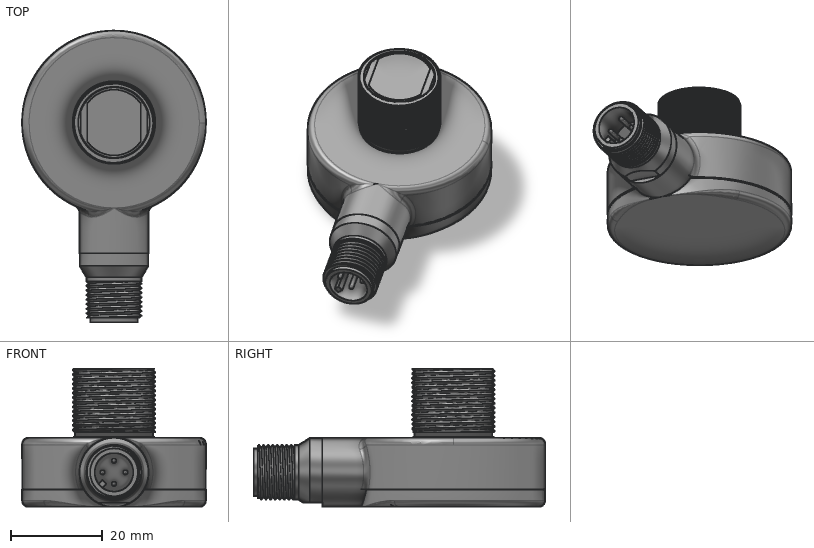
import cadquery as cq
import math

disc_radius = 20.04
disc_height = 15.09
edge_radius = 1.5
fade_radius = 0.1
fade_start_angle = 50
fade_end_angle = 8
groove_z = 3.7
groove_height = 0.2
groove_depth = 0.25

neck_radius = disc_height / 2
axis_z = neck_radius
neck_end_y = -28.5
neck_blend_radius = 1.5

stem_length = 15.0
stem_crest_radius = 9.0
stem_root_radius = 8.5
stem_undercut_length = 1.2
stem_ring_radius = 8.75
stem_ring_height = 0.15
stem_thread_phase = 180
recess_radius = 7.8
recess_depth = 0.4

face_radius = 7.65
face_half_width = 7.26
pad_radius = 7.15
pad_half_width = 5.84
pad_height = 0.1

connector_length = 14.97
collar_radius = 7.5
collar_length = 2.7
cone_length = 2.45
flat_height = 0.95
plug_crest_radius = 6.0
plug_root_radius = 5.45
plug_plain_length = 0.9
tip_radius = 5.2
tip_length = 0.95
socket_radius = 4.2
socket_depth = 8.5
pin_radius = 0.5
pin_circle_radius = 2.5
pin_length = 6.5
pin_count = 4
pin_end_rounding = 0.4
key_width = 1.2
key_inner_radius = 2.95
key_length = 7.5
key_angle = 225

thread_pitch = 1.0
spiral_steps = 8

groove_top_z = groove_z + groove_height
stem_top_z = disc_height + stem_length
recess_floor_z = stem_top_z - recess_depth

cone_end = collar_length + cone_length
thread_start = cone_end + plug_plain_length
tip_start = connector_length - tip_length
thread_length = tip_start - thread_start
socket_floor = connector_length - socket_depth


def disc_with_flats(radius, half_width, bottom_z, height):
    """Vertical disc with two flats parallel to Y, standing on bottom_z."""
    disc = cq.Workplane("XY", origin=(0, 0, bottom_z)).circle(radius).extrude(height)
    band = cq.Workplane("XY", origin=(0, 0, bottom_z)).rect(2 * half_width, 2 * radius).extrude(height)
    return disc.intersect(band)


def threaded_rod(root_radius, crest_radius, length):
    """Right-hand V-threaded rod along +Z from z = 0.

    Every cross-section of a single-start V thread is the same heart-shaped outline, two mirrored
    spirals from root to crest, so the rod is that outline extruded with one twist per pitch.
    """
    rise = crest_radius - root_radius

    def spiral(side):
        points = []
        for step in range(spiral_steps + 1):
            turn = step / spiral_steps
            radius = root_radius + rise * turn
            angle = side * math.pi * turn
            points.append(cq.Vector(radius * math.cos(angle), radius * math.sin(angle)))
        return cq.Edge.makeSpline(points)

    outline = cq.Wire.assembleEdges([spiral(1), spiral(-1)])
    rod = cq.Solid.extrudeLinearWithRotation(
        outline, [], cq.Vector(0, 0, 0), cq.Vector(0, 0, length), 360 * length / thread_pitch
    )
    return cq.Workplane(obj=rod)


def make_neck():
    return cq.Workplane("XZ", origin=(0, 0, axis_z)).circle(neck_radius).extrude(-neck_end_y)


def make_upper_housing(neck):
    """Disc and neck above the groove, with the concave blend between them."""
    disc = cq.Workplane("XY").circle(disc_radius).extrude(disc_height)
    disc = disc.faces(">Z").edges().fillet(edge_radius)
    above_groove = (
        cq.Workplane("XY", origin=(0, 0, groove_top_z))
        .rect(4 * disc_radius, 4 * disc_radius)
        .extrude(disc_height)
    )
    upper = disc.union(neck).intersect(above_groove)
    corner = [
        edge
        for edge in upper.edges().vals()
        if edge.geomType() == "BSPLINE"
    ]
    return upper.newObject(corner).fillet(neck_blend_radius)


def rim_point(angle):
    """Point on the lower rim, angle in degrees from -Y toward +X."""
    return (
        disc_radius * math.sin(math.radians(angle)),
        -disc_radius * math.cos(math.radians(angle)),
    )


def lower_rim_radius(point):
    """Size of the lower rim's rounding at a point where two stretches of the rim meet."""
    angle = abs(math.degrees(math.atan2(point.x, -point.y)))
    return edge_radius if angle > (fade_start_angle + fade_end_angle) / 2 else fade_radius


def make_lower_disc():
    """Disc below the groove; its bottom rounding fades out toward the neck on both sides."""
    mid_fade_angle = (fade_start_angle + fade_end_angle) / 2
    disc = (
        cq.Workplane("XY")
        .moveTo(*rim_point(fade_start_angle))
        .threePointArc(rim_point(180), rim_point(-fade_start_angle))
        .threePointArc(rim_point(-mid_fade_angle), rim_point(-fade_end_angle))
        .threePointArc(rim_point(0), rim_point(fade_end_angle))
        .threePointArc(rim_point(mid_fade_angle), rim_point(fade_start_angle))
        .close()
        .extrude(groove_z, clean=False)
    )
    rounding = cq.occ_impl.shapes.BRepFilletAPI_MakeFillet(disc.val().wrapped)
    rounding.Add(disc.faces("<Z").edges().val().wrapped)
    rim = 1
    for stretch in range(1, rounding.NbEdges(rim) + 1):
        edge = cq.Shape.cast(rounding.Edge(rim, stretch))
        start_radius = lower_rim_radius(edge.startPoint())
        end_radius = lower_rim_radius(edge.endPoint())
        rounding.SetRadius(start_radius, end_radius, rim, stretch)
    return cq.Workplane(obj=cq.Shape.cast(rounding.Shape()))


def make_lower_housing(neck):
    """Disc and neck up to the top of the groove, meeting in a sharp corner."""
    disc = make_lower_disc()
    groove_floor = (
        cq.Workplane("XY", origin=(0, 0, groove_z))
        .circle(disc_radius - groove_depth)
        .extrude(groove_height)
    )
    below_groove = (
        cq.Workplane("XY").rect(4 * disc_radius, 4 * disc_radius).extrude(groove_top_z)
    )
    return disc.union(groove_floor).union(neck.intersect(below_groove))


def make_stem():
    """Threaded stem with a plain undercut and a low ring at its foot."""
    foot = cq.Workplane("XY", origin=(0, 0, disc_height))
    undercut = foot.circle(stem_root_radius).extrude(stem_undercut_length)
    ring = foot.circle(stem_ring_radius).extrude(stem_ring_height)
    thread = (
        threaded_rod(stem_root_radius, stem_crest_radius, stem_length - stem_undercut_length)
        .rotate((0, 0, 0), (0, 0, 1), stem_thread_phase)
        .translate((0, 0, disc_height + stem_undercut_length))
    )
    recess = (
        cq.Workplane("XY", origin=(0, 0, recess_floor_z)).circle(recess_radius).extrude(recess_depth)
    )
    return undercut.union(ring).union(thread.cut(recess, clean=False), clean=False)


def make_housing():
    neck = make_neck()
    housing = make_lower_housing(neck).union(make_upper_housing(neck))
    return housing.union(make_stem(), clean=False)


def make_sensor_face():
    disc_thickness = recess_depth - pad_height
    disc = disc_with_flats(face_radius, face_half_width, recess_floor_z, disc_thickness)
    pad = disc_with_flats(pad_radius, pad_half_width, stem_top_z - pad_height, pad_height)
    return disc.union(pad)


def make_collar():
    """Collar, cone and plain length in front of the neck, with a flat underneath."""
    body = (
        cq.Workplane("XZ")
        .lineTo(collar_radius, 0)
        .lineTo(collar_radius, collar_length)
        .lineTo(plug_crest_radius, cone_end)
        .lineTo(plug_crest_radius, thread_start)
        .lineTo(0, thread_start)
        .close()
        .revolve(360, (0, 0), (0, 1))
    )
    above_flat = (
        cq.Workplane("XY", origin=(0, flat_height - axis_z, 0))
        .rect(4 * collar_radius, 4 * collar_radius)
        .extrude(thread_start)
        .translate((0, 2 * collar_radius, 0))
    )
    return body.intersect(above_flat)


def make_pins():
    pins = (
        cq.Workplane("XY", origin=(0, 0, socket_floor))
        .polarArray(pin_circle_radius, 0, 360, pin_count)
        .circle(pin_radius)
        .extrude(pin_length)
    )
    return pins.faces(">Z").edges().fillet(pin_end_rounding)


def make_key():
    """Coding rib on the socket wall; its root is sunk into the wall."""
    rib_depth = (socket_radius + tip_radius) / 2 - key_inner_radius
    return (
        cq.Workplane("XY", origin=(0, 0, socket_floor))
        .center(key_inner_radius + rib_depth / 2, 0)
        .rect(rib_depth, key_width)
        .extrude(key_length)
        .rotate((0, 0, 0), (0, 0, 1), key_angle)
    )


def make_connector():
    thread = threaded_rod(plug_root_radius, plug_crest_radius, thread_length)
    tip = cq.Workplane("XY", origin=(0, 0, tip_start)).circle(tip_radius).extrude(tip_length)
    outside = make_collar().val().fuse(thread.translate((0, 0, thread_start)).val(), tip.val())
    socket = cq.Workplane("XY", origin=(0, 0, socket_floor)).circle(socket_radius).extrude(socket_depth)
    socket = socket.cut(make_pins()).cut(make_key())
    connector = cq.Workplane(obj=outside).cut(socket, clean=False)
    return connector.rotate((0, 0, 0), (1, 0, 0), 90).translate((0, neck_end_y, axis_z))


housing = make_housing()
sensor_face = make_sensor_face()
connector = make_connector()

result = cq.Compound.makeCompound([housing.val(), sensor_face.val(), connector.val()])